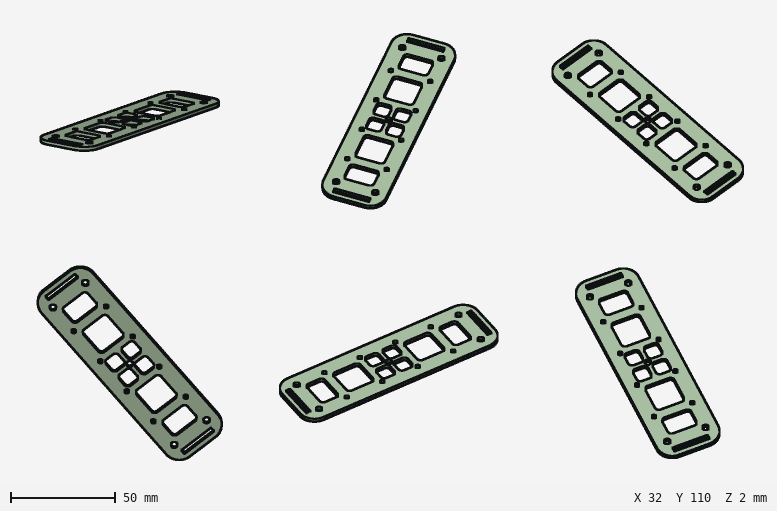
import cadquery as cq

length = 110.0
width = 32.0
thickness = 2.0
corner_radius = 8.0

pitch = length / 11
small_hole_diameter = 2.1
large_hole_diameter = 3.1
end_hole_y = 45.6

window_width = 1.5 * pitch
outer_window_length = pitch
outer_window_y = 37.5
inner_window_length = window_width
inner_window_y = 2 * pitch
window_radius = 2.0

square_side = 7.7
square_offset = pitch / 2
square_radius = 2.0

slot_width = 18.3
slot_length = 2.3
slot_y = 51.2


def mirrored(x, y):
    """Points at every sign combination of x and y."""
    return [(sx * x, sy * y) for sx in (-1, 1) for sy in (-1, 1)]


def both_ends(y):
    """Centreline points at both ends of the plate."""
    return [(0, -y), (0, y)]


def cylinders(points, diameter):
    return cq.Workplane("XY").pushPoints(points).circle(diameter / 2).extrude(thickness)


def rectangular_blocks(points, size_x, size_y):
    return cq.Workplane("XY").pushPoints(points).rect(size_x, size_y).extrude(thickness)


def rounded_blocks(points, size_x, size_y, radius):
    return rectangular_blocks(points, size_x, size_y).edges("|Z").fillet(radius)


plate = rounded_blocks([(0, 0)], width, length, corner_radius)

cutters = [
    cylinders([(0, 0)], large_hole_diameter),
    cylinders(mirrored(pitch, end_hole_y), large_hole_diameter),
    cylinders(mirrored(pitch, pitch), small_hole_diameter),
    cylinders(mirrored(pitch, 3 * pitch), small_hole_diameter),
    rounded_blocks(both_ends(outer_window_y), window_width, outer_window_length, window_radius),
    rounded_blocks(both_ends(inner_window_y), window_width, inner_window_length, window_radius),
    rounded_blocks(mirrored(square_offset, square_offset), square_side, square_side, square_radius),
    rectangular_blocks(both_ends(slot_y), slot_width, slot_length),
]

result = plate
for cutter in cutters:
    result = result.cut(cutter)